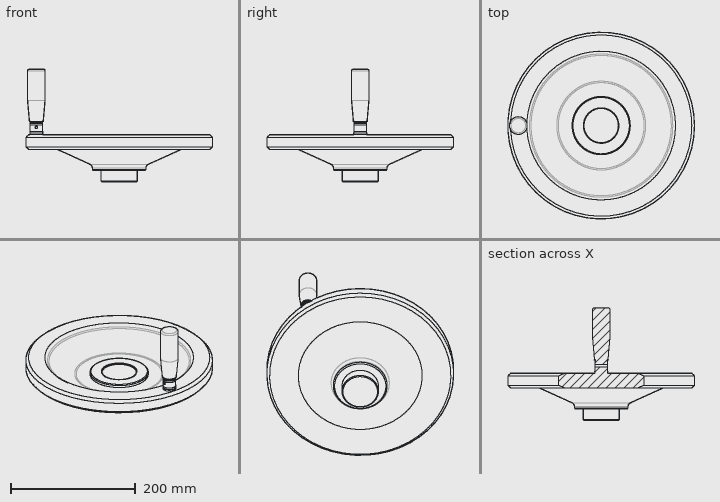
import cadquery as cq

RIM_RADIUS = 150.0
RIM_TOP_Z = 76.0
RIM_HEIGHT = 24.0
RIM_CHAMFER = 4.5
RIM_BOTTOM_Z = RIM_TOP_Z - RIM_HEIGHT

WEB_OUTER_RADIUS = 99.5
FLANGE_RADIUS = 43.2
FLANGE_BOTTOM_Z = 18.0
FLANGE_TOP_Z = 26.5
FLANGE_CHAMFER = 2.0
WEB_FOOT_FILLET = 6.0

STUB_RADIUS = 29.3
STUB_CHAMFER = 1.5

DISH_MOUTH_RADIUS = 119.4
DISH_LEDGE_RADIUS = 114.0
DISH_LEDGE_Z = 70.0
DISH_LEDGE_FILLET = 9.0
DISH_FLOOR_RADIUS = 70.3
DISH_FLOOR_Z = 46.0
DISH_FLOOR_FILLET = 5.0

BOSS_RADIUS = 46.8
BOSS_HEIGHT = 5.0
BOSS_CHAMFER = 1.5
BOSS_TOP_Z = DISH_FLOOR_Z + BOSS_HEIGHT
RECESS_RADIUS = 27.5
RECESS_DEPTH = 2.0
RECESS_CHAMFER = 1.0

HANDLE_X = -133.0
HANDLE_TOP_Z = 181.0
GRIP_RADIUS = 14.2
GRIP_END_RADIUS = 11.3
GRIP_TAPER_Z = 130.8
GRIP_BOTTOM_Z = 97.3
GRIP_TOP_FILLET = 2.5
SLEEVE_EMBED = 1.0
SLEEVE_BANDS = (
    (78.5, 10.5),
    (81.3, 10.4),
    (91.2, 10.2),
    (93.9, 10.3),
    (95.7, 10.2),
    (GRIP_BOTTOM_Z, 9.5),
)
PIN_HOLE_DIAMETER = 3.5
PIN_HOLE_Z = 87.7


def circle_at(height):
    """Selector for the edges lying at the given height."""
    margin = 0.01
    reach = 2 * RIM_RADIUS
    return cq.selectors.BoxSelector(
        (-reach, -reach, height - margin),
        (reach, reach, height + margin),
    )


def make_wheel():
    """Solid of revolution about Z: stub, flange, conical web and chamfered rim."""
    profile = (
        cq.Workplane("XZ")
        .moveTo(0, 0)
        .lineTo(STUB_RADIUS - STUB_CHAMFER, 0)
        .lineTo(STUB_RADIUS, STUB_CHAMFER)
        .lineTo(STUB_RADIUS, FLANGE_BOTTOM_Z)
        .lineTo(FLANGE_RADIUS - FLANGE_CHAMFER, FLANGE_BOTTOM_Z)
        .lineTo(FLANGE_RADIUS, FLANGE_BOTTOM_Z + FLANGE_CHAMFER)
        .lineTo(FLANGE_RADIUS, FLANGE_TOP_Z)
        .lineTo(WEB_OUTER_RADIUS, RIM_BOTTOM_Z)
        .lineTo(RIM_RADIUS - RIM_CHAMFER, RIM_BOTTOM_Z)
        .lineTo(RIM_RADIUS, RIM_BOTTOM_Z + RIM_CHAMFER)
        .lineTo(RIM_RADIUS, RIM_TOP_Z - RIM_CHAMFER)
        .lineTo(RIM_RADIUS - RIM_CHAMFER, RIM_TOP_Z)
        .lineTo(0, RIM_TOP_Z)
        .close()
    )
    wheel = profile.revolve(360, (0, 0), (0, 1))
    return wheel.edges(circle_at(FLANGE_TOP_Z)).fillet(WEB_FOOT_FILLET)


def make_dish():
    """Hollow of the wheel, with rounded transitions at the ledge and the floor."""
    profile = (
        cq.Workplane("XZ")
        .moveTo(0, DISH_FLOOR_Z)
        .lineTo(DISH_FLOOR_RADIUS, DISH_FLOOR_Z)
        .lineTo(DISH_LEDGE_RADIUS, DISH_LEDGE_Z)
        .lineTo(DISH_MOUTH_RADIUS, RIM_TOP_Z)
        .lineTo(0, RIM_TOP_Z)
        .close()
    )
    dish = profile.revolve(360, (0, 0), (0, 1))
    dish = dish.edges(circle_at(DISH_LEDGE_Z)).fillet(DISH_LEDGE_FILLET)
    return dish.edges(circle_at(DISH_FLOOR_Z)).fillet(DISH_FLOOR_FILLET)


def make_boss():
    """Raised disc on the dish floor with a shallow chamfered recess."""
    boss = (
        cq.Workplane("XY", origin=(0, 0, DISH_FLOOR_Z))
        .circle(BOSS_RADIUS)
        .extrude(BOSS_HEIGHT)
        .faces(">Z")
        .chamfer(BOSS_CHAMFER)
    )
    recess = (
        cq.Workplane("XY", origin=(0, 0, BOSS_TOP_Z))
        .circle(RECESS_RADIUS)
        .extrude(-RECESS_DEPTH)
    )
    recess_rim = cq.selectors.RadiusNthSelector(0)
    return boss.cut(recess).faces(">Z").edges(recess_rim).chamfer(RECESS_CHAMFER)


def make_sleeve():
    """Stack of slightly stepped bands carrying the grip, with a cross pin hole."""
    sleeve = cq.Workplane("XY")
    bottom_z = RIM_TOP_Z - SLEEVE_EMBED
    for top_z, radius in SLEEVE_BANDS:
        band = (
            cq.Workplane("XY", origin=(HANDLE_X, 0, bottom_z))
            .circle(radius)
            .extrude(top_z - bottom_z)
        )
        sleeve = sleeve.union(band)
        bottom_z = top_z
    pin_hole = (
        cq.Workplane("XZ", origin=(HANDLE_X, 0, PIN_HOLE_Z))
        .circle(PIN_HOLE_DIAMETER / 2)
        .extrude(GRIP_RADIUS, both=True)
    )
    return sleeve.cut(pin_hole)


def make_grip():
    """Turned grip: tapered lower part, straight upper part, rounded top edge."""
    profile = (
        cq.Workplane("XZ", origin=(HANDLE_X, 0, 0))
        .moveTo(0, GRIP_BOTTOM_Z)
        .lineTo(GRIP_END_RADIUS, GRIP_BOTTOM_Z)
        .lineTo(GRIP_RADIUS, GRIP_TAPER_Z)
        .lineTo(GRIP_RADIUS, HANDLE_TOP_Z)
        .lineTo(0, HANDLE_TOP_Z)
        .close()
    )
    grip = profile.revolve(360, (0, 0), (0, 1))
    return grip.faces(">Z").edges().fillet(GRIP_TOP_FILLET)


wheel = make_wheel().cut(make_dish()).union(make_boss())
handle = make_sleeve().union(make_grip())
result = wheel.union(handle)